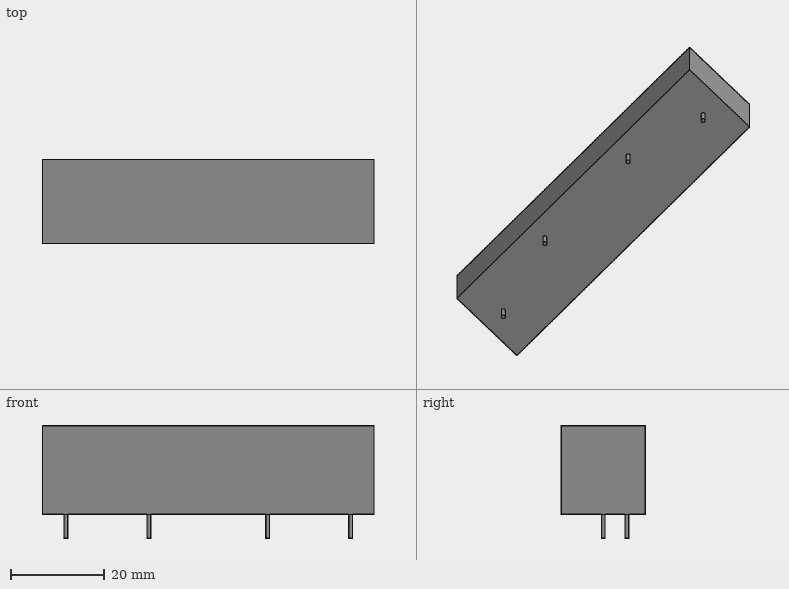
import cadquery as cq

housing_length = 71.1
housing_width = 18.1
total_height = 24.2
pin_length = 5.1
housing_height = total_height - pin_length

pin_diameter = 0.85
pin_spacing = 17.8
inner_pin_x = 12.7
outer_pin_x = inner_pin_x + pin_spacing
outer_pin_y = 0.0
inner_pin_y = 5.05
pin_positions = [
    (-outer_pin_x, outer_pin_y),
    (-inner_pin_x, inner_pin_y),
    (inner_pin_x, inner_pin_y),
    (outer_pin_x, outer_pin_y),
]


def make_housing():
    """The block whose underside carries the pins."""
    return cq.Workplane("XY").box(
        housing_length, housing_width, housing_height, centered=(True, True, False)
    )


def make_pin(x, y):
    """One pin hanging from the underside of the housing."""
    return cq.Workplane("XY").center(x, y).circle(pin_diameter / 2).extrude(-pin_length)


housing = make_housing()
pins = [make_pin(x, y) for x, y in pin_positions]

result = cq.Compound.makeCompound([housing.val(), *[pin.val() for pin in pins]])